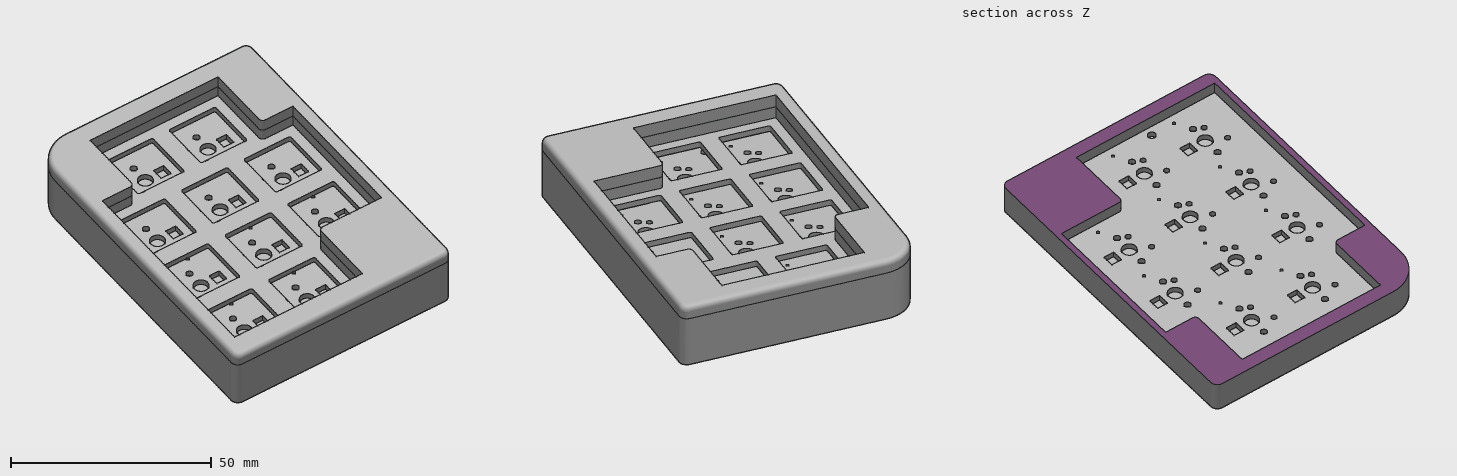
import cadquery as cq

LENGTH = 88.85
WIDTH = 65.4
HEIGHT = 17.0
THUMB_CORNER_RADIUS = 10.0
CORNER_RADIUS = 2.0
TOP_EDGE_RADIUS = 1.5
COVER_THICKNESS = 3.5

KEY_PITCH = 19.0
KEY_COLUMNS = {
    -1.5: (-0.5, 0.5),
    -0.5: (-1, 0, 1),
    0.5: (-1, 0, 1),
    1.5: (-1, 0),
}

CAVITY_MARGIN = 2.5
SCREW_HOLE_DIAMETER = 2.2
SCREW_HOLE_POINT = (2 * KEY_PITCH, -0.5 * KEY_PITCH)

OPENING_MARGIN = 0.35
INWARD_CORNER_RADIUS = 1.15

PLATE_DEPTH = 6.7
PLATE_THICKNESS = 1.6
BOARD_THICKNESS = 1.6
BOARD_GAP = 3.5
SPLIT = HEIGHT - COVER_THICKNESS
PLATE_TOP = HEIGHT - PLATE_DEPTH
PLATE_BOTTOM = PLATE_TOP - PLATE_THICKNESS
BOARD_TOP = PLATE_BOTTOM - BOARD_GAP
BOARD_BOTTOM = BOARD_TOP - BOARD_THICKNESS

SWITCH_CUTOUT = 14.0
SWITCH_CORNER_RADIUS = 0.5

POST_DIAMETER = 4.0
PEG_DIAMETER = 1.8
PEG_OFFSET = 5.1
CONTACT_DIAMETER = 1.5
DIODE_DIAMETER = 0.8
DIODE_POINT = (KEY_PITCH / 2, 2.6)
CONTACT_STEP = KEY_PITCH / 15
CONTACT_POINTS = [(-2 * CONTACT_STEP, -4 * CONTACT_STEP), (3 * CONTACT_STEP, -2 * CONTACT_STEP)]
LAMP_LENGTH = 3.3
LAMP_WIDTH = 3.0
LAMP_OFFSET = 5.15

KEY_CENTRES = [
    (column * KEY_PITCH, row * KEY_PITCH) for column, rows in KEY_COLUMNS.items() for row in rows
]


def block(bottom, top):
    """Slab with the outer outline: three small corners and one large one at the front left."""
    slab = cq.Workplane("XY").workplane(offset=bottom).rect(LENGTH, WIDTH).extrude(top - bottom)
    slab = slab.edges("|Z and (>X or >Y)").fillet(CORNER_RADIUS)
    return slab.edges("|Z and <X and <Y").fillet(THUMB_CORNER_RADIUS)


def key_area(bottom, top, margin):
    """Prism around all keys, wider by the margin, with its inward corners rounded."""
    half_length = 2 * KEY_PITCH + margin
    half_width = 1.5 * KEY_PITCH + margin
    step_x = KEY_PITCH + margin
    left_half_width = KEY_PITCH + margin
    right_top = 0.5 * KEY_PITCH + margin
    outline = [
        (-half_length, -left_half_width),
        (-step_x, -left_half_width),
        (-step_x, -half_width),
        (half_length, -half_width),
        (half_length, right_top),
        (step_x, right_top),
        (step_x, half_width),
        (-step_x, half_width),
        (-step_x, left_half_width),
        (-half_length, left_half_width),
    ]
    inward_corners = [(-step_x, -left_half_width), (-step_x, left_half_width), (step_x, right_top)]
    prism = cq.Workplane("XY").workplane(offset=bottom).polyline(outline).close().extrude(top - bottom)
    middle = (bottom + top) / 2
    for x, y in inward_corners:
        prism = prism.edges(cq.NearestToPointSelector((x, y, middle))).fillet(INWARD_CORNER_RADIUS)
    return prism


def shifted(points):
    """The given points of one switch, repeated at every key."""
    return [(key_x + x, key_y + y) for key_x, key_y in KEY_CENTRES for x, y in points]


def make_cover():
    cover = block(SPLIT, HEIGHT).faces(">Z").edges().fillet(TOP_EDGE_RADIUS)
    return cover.cut(key_area(SPLIT, HEIGHT, OPENING_MARGIN))


def make_case():
    opening = key_area(PLATE_TOP, SPLIT, OPENING_MARGIN)
    cavity = key_area(BOARD_BOTTOM, PLATE_TOP, CAVITY_MARGIN)
    return block(0, SPLIT).cut(opening).cut(cavity)


def make_switch_plate():
    cutouts = (
        cq.Workplane("XY")
        .workplane(offset=PLATE_BOTTOM)
        .pushPoints(KEY_CENTRES)
        .rect(SWITCH_CUTOUT, SWITCH_CUTOUT)
        .extrude(PLATE_THICKNESS)
        .edges("|Z")
        .fillet(SWITCH_CORNER_RADIUS)
    )
    return key_area(PLATE_BOTTOM, PLATE_TOP, CAVITY_MARGIN).cut(cutouts)


def board_holes(points, diameter):
    """Round cutters through the circuit board."""
    floor = cq.Workplane("XY").workplane(offset=BOARD_BOTTOM)
    return floor.pushPoints(points).circle(diameter / 2).extrude(BOARD_THICKNESS)


def lamp_windows():
    """Rectangular cutters through the circuit board, one behind each switch post."""
    floor = cq.Workplane("XY").workplane(offset=BOARD_BOTTOM)
    windows = floor.pushPoints(shifted([(0, LAMP_OFFSET)]))
    return windows.rect(LAMP_LENGTH, LAMP_WIDTH).extrude(BOARD_THICKNESS)


def make_circuit_board():
    board = key_area(BOARD_BOTTOM, BOARD_TOP, CAVITY_MARGIN)
    board = board.cut(board_holes(KEY_CENTRES, POST_DIAMETER))
    board = board.cut(board_holes(shifted([(-PEG_OFFSET, 0), (PEG_OFFSET, 0)]), PEG_DIAMETER))
    board = board.cut(board_holes(shifted(CONTACT_POINTS), CONTACT_DIAMETER))
    board = board.cut(board_holes(shifted([DIODE_POINT]), DIODE_DIAMETER))
    board = board.cut(board_holes([SCREW_HOLE_POINT], SCREW_HOLE_DIAMETER))
    return board.cut(lamp_windows())


cover = make_cover()
case = make_case()
switch_plate = make_switch_plate()
circuit_board = make_circuit_board()

result = cq.Compound.makeCompound([cover.val(), case.val(), switch_plate.val(), circuit_board.val()])